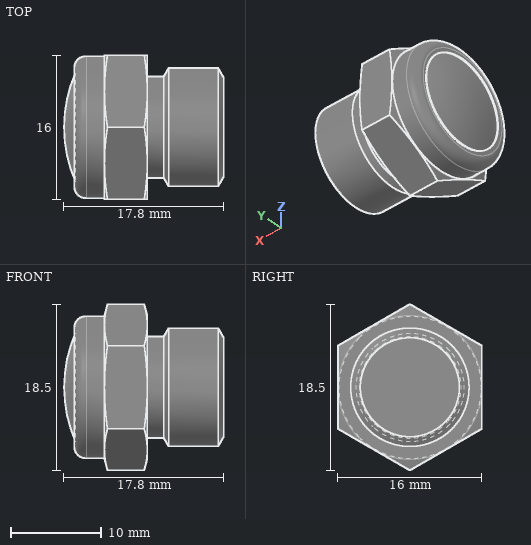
import cadquery as cq
import math

total_length = 17.75
cap_face_x = 1.13
hex_start_x = 4.5
hex_width = 4.75
hex_end_x = hex_start_x + hex_width
shank_start_x = 11.08

dome_diameter = 12.0
dome_edge_x = 1.25
cap_diameter = 15.8
cap_round = 1.32

hex_across_flats = 16.0
hex_across_corners = hex_across_flats / math.cos(math.radians(30))
hex_chamfer_angle = 15.0

neck_diameter = 11.3
shank_diameter = 13.16
end_diameter = 11.0
shank_chamfer_angle = 30.0


def revolve_about_x(profile):
    """Turn a closed XY profile, touching the X axis, into a solid of revolution."""
    return profile.close().revolve(360, (0, 0, 0), (1, 0, 0))


def make_cap():
    """Round-edged cap, recessed inside the dome circle so the dome sits in it."""
    cap_radius = cap_diameter / 2
    dome_radius = dome_diameter / 2
    round_offset = cap_round * math.sqrt(0.5)
    round_middle = (cap_face_x + cap_round - round_offset, cap_radius - cap_round + round_offset)
    return revolve_about_x(
        cq.Workplane("XY")
        .moveTo(dome_edge_x, 0)
        .lineTo(dome_edge_x, dome_radius)
        .lineTo(cap_face_x, dome_radius)
        .lineTo(cap_face_x, cap_radius - cap_round)
        .threePointArc(round_middle, (cap_face_x + cap_round, cap_radius))
        .lineTo(hex_start_x, cap_radius)
        .lineTo(hex_start_x, 0)
    )


def make_dome():
    """Spherical segment from the tip to its edge, running down into the cap."""
    edge_radius = dome_diameter / 2
    sphere_radius = (edge_radius**2 + dome_edge_x**2) / (2 * dome_edge_x)
    sphere = cq.Workplane("XY", origin=(sphere_radius, 0, 0)).sphere(sphere_radius)
    insert = cq.Workplane("YZ").circle(edge_radius).extrude(hex_start_x)
    return insert.intersect(sphere)


def make_hexagon():
    """Hexagon with corners along Z, its corners cut by a cone on both faces."""
    prism = (
        cq.Workplane("YZ", origin=(hex_start_x, 0, 0))
        .transformed(rotate=(0, 0, 90))
        .polygon(6, hex_across_corners)
        .extrude(hex_width)
    )
    face_radius = hex_across_flats / 2
    corner_radius = hex_across_corners / 2
    chamfer_length = (corner_radius - face_radius) * math.tan(math.radians(hex_chamfer_angle))
    envelope = revolve_about_x(
        cq.Workplane("XY")
        .moveTo(hex_start_x, 0)
        .lineTo(hex_start_x, face_radius)
        .lineTo(hex_start_x + chamfer_length, corner_radius)
        .lineTo(hex_end_x - chamfer_length, corner_radius)
        .lineTo(hex_end_x, face_radius)
        .lineTo(hex_end_x, 0)
    )
    return prism.intersect(envelope)


def make_shank():
    """Undercut neck followed by the plain shank with a chamfer at each end."""
    neck_radius = neck_diameter / 2
    shank_radius = shank_diameter / 2
    end_radius = end_diameter / 2
    chamfer_slope = math.tan(math.radians(shank_chamfer_angle))
    start_chamfer = (shank_radius - neck_radius) * chamfer_slope
    end_chamfer = (shank_radius - end_radius) * chamfer_slope
    return revolve_about_x(
        cq.Workplane("XY")
        .moveTo(hex_end_x, 0)
        .lineTo(hex_end_x, neck_radius)
        .lineTo(shank_start_x, neck_radius)
        .lineTo(shank_start_x + start_chamfer, shank_radius)
        .lineTo(total_length - end_chamfer, shank_radius)
        .lineTo(total_length, end_radius)
        .lineTo(total_length, 0)
    )


result = make_cap().union(make_dome()).union(make_hexagon()).union(make_shank())